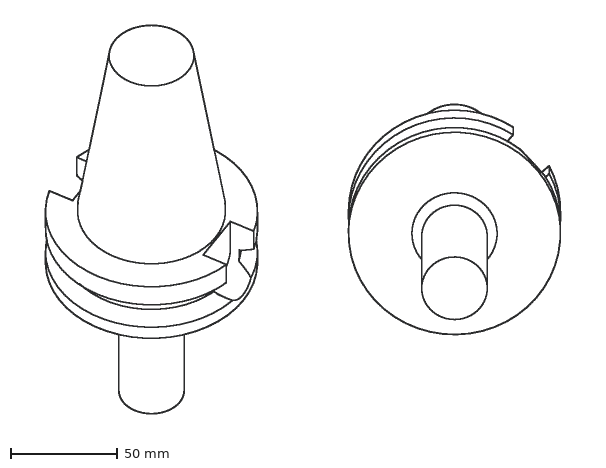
import cadquery as cq

total_length = 225.8
flange_diameter = 100.0

shank_top = 81.5
flange_bottom = 86.3
lower_rim_top = 93.7
groove_floor_bottom = 98.0
groove_floor_top = 103.9
upper_rim_bottom = 108.8
flange_top = 121.0
gauge_line = 124.0

shank_diameter = 31.0
flare_diameter = 40.2
groove_diameter = 85.0
gauge_diameter = 69.8
taper_ratio = 7 / 24
taper_end_diameter = gauge_diameter - taper_ratio * (total_length - gauge_line)

slot_width = 25.5
slot_bottom = 90.3
slot_floor_offset = 35.7


def turned_body():
    """Revolve the half profile of the tool holder around Z."""
    stations = [
        (shank_diameter, 0),
        (shank_diameter, shank_top),
        (flare_diameter, flange_bottom),
        (flange_diameter, flange_bottom),
        (flange_diameter, lower_rim_top),
        (groove_diameter, groove_floor_bottom),
        (groove_diameter, groove_floor_top),
        (flange_diameter, upper_rim_bottom),
        (flange_diameter, flange_top),
        (gauge_diameter, flange_top),
        (gauge_diameter, gauge_line),
        (taper_end_diameter, total_length),
    ]
    outline = [(diameter / 2, height) for diameter, height in stations]
    return (
        cq.Workplane("XZ")
        .polyline([(0, 0)] + outline + [(0, total_length)])
        .close()
        .revolve(360, (0, 0, 0), (0, 1, 0))
    )


def drive_slot(side):
    """Cutter for one drive slot; side is -1 for -X and +1 for +X."""
    radius = slot_width / 2
    arc_height = slot_bottom + radius
    depth = flange_diameter / 2 - slot_floor_offset
    return (
        cq.Workplane("YZ", origin=(side * slot_floor_offset, 0, 0))
        .moveTo(-radius, flange_top)
        .lineTo(-radius, arc_height)
        .threePointArc((0, slot_bottom), (radius, arc_height))
        .lineTo(radius, flange_top)
        .close()
        .extrude(side * depth)
    )


result = turned_body()
for side in (-1, 1):
    result = result.cut(drive_slot(side))